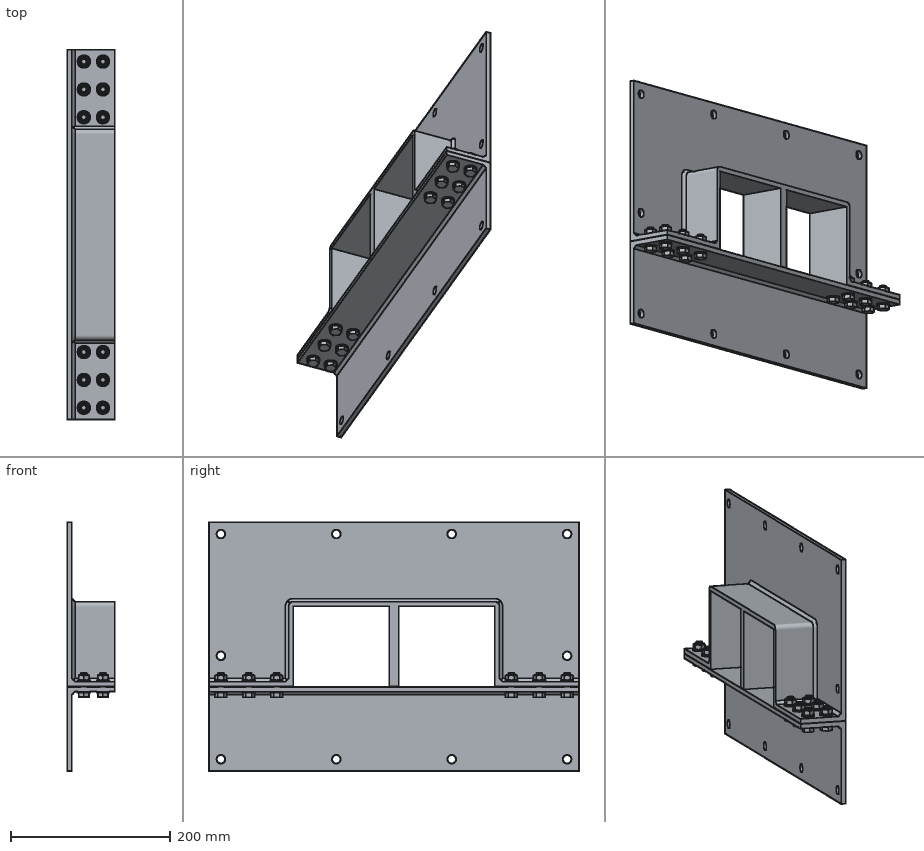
import cadquery as cq
import math

WIDTH = 465.0
HEIGHT = 313.0
DEPTH = 60.0
SHEET = 6.0
DIVIDER = 2 * SHEET

LOWER_HEIGHT = 106.0
SPLIT_GAP = 0.5
UPPER_BASE = LOWER_HEIGHT + SPLIT_GAP
BORDER = 100.0
WINDOW_WIDTH = WIDTH - 2 * BORDER
WINDOW_TOP = HEIGHT - BORDER
OPENING_WIDTH = (WINDOW_WIDTH - 2 * SHEET - DIVIDER) / 2
OPENING_TOP = WINDOW_TOP - SHEET

WELD_LEG = 4.0

MOUNT_DIAMETER = 10.5
MOUNT_INSET = 15.0
MOUNT_MIDDLE_Z = 145.0
MOUNT_COLUMNS = 4

BOLT_DIAMETER = 8.0
BOLT_TIP_DIAMETER = 6.65
BOLT_LENGTH = 25.0
HEX_FLATS = 13.0
HEX_CORNERS = HEX_FLATS / math.cos(math.pi / 6)
HEX_FACE_DIAMETER = 11.63
HEX_CHAMFER_ANGLE = 30.0
HEAD_HEIGHT = 5.3
NUT_HEIGHT = 6.8
WASHER_DIAMETER = 16.0
WASHER_THICKNESS = 1.6
BOLT_ROWS_X = (21.0, 45.0)
BOLT_END_INSET = 15.0
BOLT_PITCH = 35.0
BOLTS_PER_ROW = 3

FLANGE_TOP = UPPER_BASE + SHEET
FLANGE_BOTTOM = LOWER_HEIGHT - SHEET
SIDES = (-1, 1)


def block(x0, x1, y0, y1, z0, z1):
    """Box between two opposite corners."""
    return cq.Workplane("XY").box(x1 - x0, y1 - y0, z1 - z0, centered=False).translate((x0, y0, z0))


def make_lower_angle():
    """Lower plate with its full-width flange and the weld under the flange."""
    plate = block(0, SHEET, -WIDTH / 2, WIDTH / 2, 0, LOWER_HEIGHT)
    flange = block(SHEET, DEPTH, -WIDTH / 2, WIDTH / 2, FLANGE_BOTTOM, LOWER_HEIGHT)
    weld = (
        cq.Workplane("XZ", origin=(0, WIDTH / 2, 0))
        .moveTo(SHEET, FLANGE_BOTTOM)
        .lineTo(SHEET + WELD_LEG, FLANGE_BOTTOM)
        .lineTo(SHEET, FLANGE_BOTTOM - WELD_LEG)
        .close()
        .extrude(WIDTH)
    )
    return plate.union(flange).union(weld)


def make_side_flange(side):
    """Flange beside the liner, with welds along the panel and along the liner wall."""
    inner = WINDOW_WIDTH / 2
    flange = block(SHEET, DEPTH, inner, WIDTH / 2, UPPER_BASE, FLANGE_TOP)
    panel_weld = (
        cq.Workplane("XZ", origin=(0, WIDTH / 2, 0))
        .moveTo(SHEET, FLANGE_TOP)
        .lineTo(SHEET + WELD_LEG, FLANGE_TOP)
        .lineTo(SHEET, FLANGE_TOP + WELD_LEG)
        .close()
        .extrude(BORDER)
    )
    wall_weld = (
        cq.Workplane("YZ", origin=(SHEET, 0, 0))
        .moveTo(inner, FLANGE_TOP)
        .lineTo(inner + WELD_LEG, FLANGE_TOP)
        .lineTo(inner, FLANGE_TOP + WELD_LEG)
        .close()
        .extrude(DEPTH - SHEET)
    )
    flange = flange.union(panel_weld).union(wall_weld)
    return flange if side > 0 else flange.mirror("XZ")


def arch(start_x, margin):
    """Liner outline at a given X, round at the top corners and grown by a margin."""
    half = WINDOW_WIDTH / 2 + margin
    top = WINDOW_TOP + margin
    radius = SHEET + margin
    slant = radius * (1 - math.sqrt(0.5))
    return (
        cq.Workplane("YZ", origin=(start_x, 0, 0))
        .moveTo(-half, UPPER_BASE)
        .lineTo(half, UPPER_BASE)
        .lineTo(half, top - radius)
        .threePointArc((half - slant, top - slant), (half - radius, top))
        .lineTo(radius - half, top)
        .threePointArc((slant - half, top - slant), (-half, top - radius))
        .close()
    )


def make_upper_frame():
    """Upper frame with the liner around its window, the divider and the two side flanges."""
    frame = block(0, SHEET, -WIDTH / 2, WIDTH / 2, UPPER_BASE, HEIGHT)
    window = block(0, SHEET, -WINDOW_WIDTH / 2, WINDOW_WIDTH / 2, UPPER_BASE, WINDOW_TOP)
    liner = arch(0, 0).extrude(DEPTH)
    bead = arch(SHEET, WELD_LEG).extrude(WELD_LEG, taper=45)
    frame = frame.cut(window).union(liner).union(bead)
    for side in SIDES:
        frame = frame.union(make_side_flange(side))
        centre = side * (DIVIDER + OPENING_WIDTH) / 2
        y0 = centre - OPENING_WIDTH / 2
        frame = frame.cut(block(0, DEPTH, y0, y0 + OPENING_WIDTH, UPPER_BASE, OPENING_TOP))
    return frame


def cut_mounting_holes(body):
    """Top and bottom rows of holes, and one hole at each end between them."""
    end = WIDTH / 2 - MOUNT_INSET
    pitch = 2 * end / (MOUNT_COLUMNS - 1)
    points = [(side * end, MOUNT_MIDDLE_Z) for side in SIDES]
    for z in (MOUNT_INSET, HEIGHT - MOUNT_INSET):
        points += [(i * pitch - end, z) for i in range(MOUNT_COLUMNS)]
    holes = cq.Workplane("YZ").pushPoints(points).circle(MOUNT_DIAMETER / 2).extrude(SHEET)
    return body.cut(holes)


def cylinder(diameter, z0, height):
    """Upright cylinder on the Z axis."""
    return cq.Workplane("XY", origin=(0, 0, z0)).circle(diameter / 2).extrude(height)


def hexagon(z0, height):
    """Hexagonal prism with corners pointing along Y."""
    prism = cq.Workplane("XY").polygon(6, HEX_CORNERS).extrude(height)
    return prism.rotate((0, 0, 0), (0, 0, 1), 90).translate((0, 0, z0))


def make_nut(z0):
    """Hexagon nut with its corners chamfered at both ends."""
    corner_radius = HEX_CORNERS / 2
    face_radius = HEX_FACE_DIAMETER / 2
    drop = (corner_radius - face_radius) * math.tan(math.radians(HEX_CHAMFER_ANGLE))
    envelope = (
        cq.Workplane("XZ")
        .lineTo(face_radius, 0)
        .lineTo(corner_radius, drop)
        .lineTo(corner_radius, NUT_HEIGHT - drop)
        .lineTo(face_radius, NUT_HEIGHT)
        .lineTo(0, NUT_HEIGHT)
        .close()
        .revolve(360, (0, 0, 0), (0, 1, 0))
    )
    return hexagon(z0, NUT_HEIGHT).intersect(envelope.translate((0, 0, z0)))


def make_bolt():
    """Bolt with its head below, a washer on each side and a nut on top."""
    head_top = FLANGE_BOTTOM - WASHER_THICKNESS
    tip_chamfer = (BOLT_DIAMETER - BOLT_TIP_DIAMETER) / 2
    shank = cylinder(BOLT_DIAMETER, head_top, BOLT_LENGTH).faces(">Z").chamfer(tip_chamfer)
    return (
        shank.union(hexagon(head_top - HEAD_HEIGHT, HEAD_HEIGHT))
        .union(cylinder(WASHER_DIAMETER, head_top, WASHER_THICKNESS))
        .union(cylinder(WASHER_DIAMETER, FLANGE_TOP, WASHER_THICKNESS))
        .union(make_nut(FLANGE_TOP + WASHER_THICKNESS))
    )


def add_bolts(body):
    """Clamp both side flanges to the lower flange."""
    bolt = make_bolt()
    for x in BOLT_ROWS_X:
        for i in range(BOLTS_PER_ROW):
            y = WIDTH / 2 - BOLT_END_INSET - i * BOLT_PITCH
            for side in SIDES:
                body = body.union(bolt.translate((x, side * y, 0)))
    return body


panel = make_lower_angle().union(make_upper_frame())
panel = cut_mounting_holes(panel)
result = add_bolts(panel)